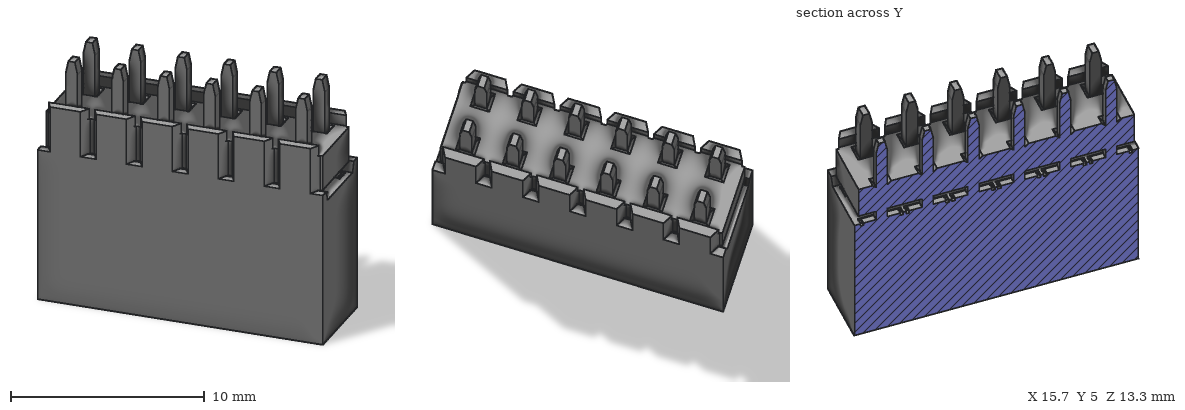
import cadquery as cq

length = 15.74
width = 5.0
height = 13.35

columns = 6
column_inset = 1.53
pitch = (length - 2 * column_inset) / (columns - 1)
column_xs = [column_inset + i * pitch for i in range(columns)]
row_ys = [width / 2 - pitch / 2, width / 2 + pitch / 2]

body_top = 8.48
slab_top = 10.44
panel_top = 11.03

slab_inset = 0.24
wall_thickness = 0.52

groove_depth = 0.6
groove_mouth = 0.87
groove_root = 0.22

channel_floor = 7.93
channel_top_inset = 0.5
channel_floor_inset = 0.71

pin_size = 0.65
pin_tip_width = 0.36
pin_taper_start = 12.69

pocket_mouth = 1.02
pocket_depth = 0.19

foot_length = 2.05
recess_length = 2.36
recess_width = 0.75
recess_depth = 0.15


def block(x0, x1, y0, y1, z0, z1):
    """Box given by its limits along each axis."""
    return cq.Workplane("XY").box(x1 - x0, y1 - y0, z1 - z0, centered=False).translate((x0, y0, z0))


def make_housing():
    """Plain body with the slab and its two side walls on top."""
    body = block(0, length, 0, width, 0, body_top)
    upper = block(slab_inset, length - slab_inset, 0, width, body_top, panel_top)
    trough = block(0, length, wall_thickness, width - wall_thickness, slab_top, panel_top)
    return body.union(upper).cut(trough)


def make_channel():
    """Trapezoidal channel through the full length below the slab."""
    return (
        cq.Workplane("YZ")
        .moveTo(channel_top_inset, body_top)
        .lineTo(channel_floor_inset, channel_floor)
        .lineTo(width - channel_floor_inset, channel_floor)
        .lineTo(width - channel_top_inset, body_top)
        .close()
        .extrude(length)
    )


def make_groove(x):
    """Pair of opposed wall grooves at one place along X, narrowing inward."""
    groove = (
        cq.Workplane("XY", origin=(x, 0, body_top))
        .moveTo(-groove_mouth / 2, 0)
        .lineTo(groove_mouth / 2, 0)
        .lineTo(groove_root / 2, groove_depth)
        .lineTo(-groove_root / 2, groove_depth)
        .close()
        .extrude(panel_top - body_top)
    )
    return groove.union(groove.mirror("XZ", (0, width / 2, 0)))


def make_pin(x, y):
    """Square pin rising from the channel floor, its tip tapered along X."""
    return (
        cq.Workplane("XZ", origin=(x, y + pin_size / 2, 0))
        .moveTo(-pin_size / 2, channel_floor)
        .lineTo(pin_size / 2, channel_floor)
        .lineTo(pin_size / 2, pin_taper_start)
        .lineTo(pin_tip_width / 2, height)
        .lineTo(-pin_tip_width / 2, height)
        .lineTo(-pin_size / 2, pin_taper_start)
        .close()
        .extrude(pin_size)
    )


def make_pocket(x, y):
    """Funnel that closes onto the pin below the slab surface."""
    return (
        cq.Workplane("XY", origin=(x, y, slab_top))
        .rect(pocket_mouth, pocket_mouth)
        .workplane(offset=-pocket_depth)
        .rect(pin_size, pin_size)
        .loft(ruled=True)
    )


def make_recess(x, y):
    """Moat in the channel floor around a contact foot that stays flush with it."""
    moat_floor = channel_floor - recess_depth
    return (
        cq.Workplane("XY", origin=(x, y, moat_floor))
        .rect(recess_length, recess_width)
        .rect(foot_length, pin_size)
        .extrude(recess_depth)
    )


result = make_housing().cut(make_channel())

first_groove_x = column_inset - pitch / 2
for i in range(columns + 1):
    result = result.cut(make_groove(first_groove_x + i * pitch))

for x in column_xs:
    for y in row_ys:
        result = result.cut(make_recess(x, y)).cut(make_pocket(x, y)).union(make_pin(x, y))

result = result.translate((-length / 2, -width / 2, 0))